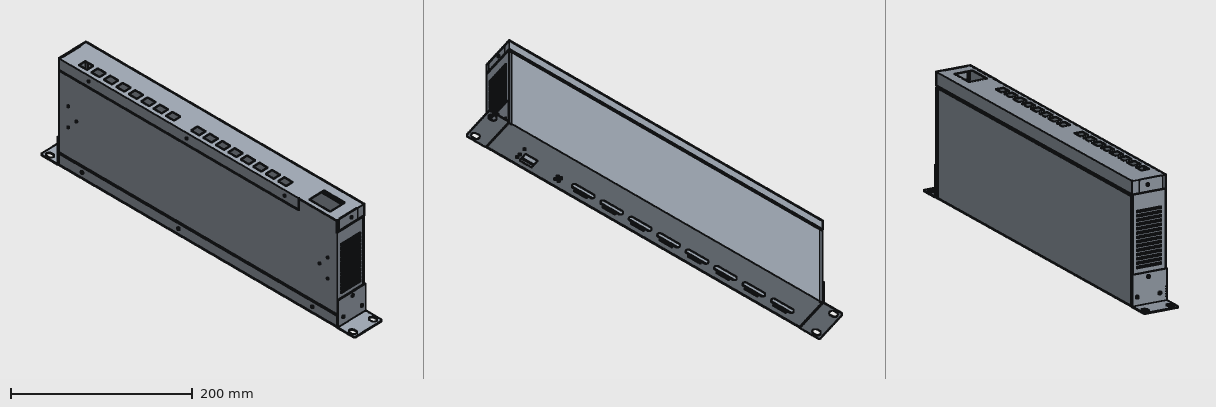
import cadquery as cq


SHEET = 1.0
BEND = SHEET
CLEAR = 5.0

OVERALL_X = 482.0
OVERALL_Y = 44.0
OVERALL_Z = 147.5

EAR_SHEET = 1.5
EAR_RISE = 38.0
EAR_CORNER_RADIUS = 2.0
EAR_SLOT_LENGTH = 10.0
EAR_SLOT_WIDTH = 7.0
EAR_SLOT_X = 232.5
EAR_SLOT_SPACING = 32.0
EAR_SCREW_DIAMETER = 3.8
EAR_SCREW_Y = 1.5
EAR_SCREW_HALF_SPACING = 14.5
EAR_SCREW_LOW_Z = 11.0
EAR_SCREW_HIGH_Z = 33.0

BOX_X = 428.0
BODY_TOP = 130.5
BODY_FRONT_BOTTOM = 18.0
BODY_LIP = 4.5
TAB_FRONT_Y = -18.0
TAB_REAR_Y = 12.0
TAB_STEP_Z = 132.0
TAB_CHAMFER = 1.5
TAB_SCREW_DIAMETER = 3.3
TAB_SCREW_Y = 1.5
VENT_COUNT = 14
VENT_SPAN = 65.0
VENT_LENGTH = 31.0
VENT_HEIGHT = 2.0
VENT_MIDDLE_Z = 77.5
FRONT_HOLE_DIAMETER = 2.6
FRONT_HOLE_OUTER_X = 199.0
FRONT_HOLE_INNER_X = 186.5
FRONT_HOLE_MIDDLE_Z = 74.0
FRONT_HOLE_RISE = 14.5

FLANGE_BOTTOM = 131.0
FRONT_FLANGE_END_X = 154.5
FLANGE_INSET = 0.6
COVER_SCREW_DIAMETER = 2.85
COVER_SCREW_Z = 139.5
COVER_SCREW_MIDDLE_X = -17.5
COVER_SCREW_SPACING = 150.5
JACK_COUNT = 8
JACK_SPAN = 133.5
JACK_GROUP_STARTS = (-182.5, -10.5)
JACK_WIDTH = 12.5
WINDOW_BOTTOM_Y = -15.0
JACK_TOP_Y = -5.0
INLET_LEFT_X = 165.0
INLET_RIGHT_X = 196.5
INLET_TOP_Y = 8.0

BASE_FLANGE_TOP = 16.5
REAR_WALL_TOP = 128.5
BASE_SCREW_DIAMETER = 3.75
BASE_SCREW_Z = 8.5
BASE_SCREW_XS = (-178.0, -30.0, 175.5)
PORT_COUNT = 8
PORT_SPAN = 271.5
PORT_START_X = -180.5
PORT_WIDTH = 30.0
PORT_HEIGHT = 6.0
PORT_MIDDLE_Y = -8.0
PORT_NOTCH_WIDTH = 17.5
PORT_NOTCH_BOTTOM_Y = -14.0
UPLINK_LEFT_X = 156.5
UPLINK_RIGHT_X = 173.0
UPLINK_TOP_Y = -3.6
UPLINK_BOTTOM_Y = -15.0
LAMP_DIAMETER = 3.3
LAMP_XS = (121.5, 126.0, 178.0)
LAMP_YS = (-8.0, -12.5)
BUTTON_X = 178.0
BUTTON_Y = 1.0
BUTTON_DIAMETER = 2.75

BOX_HALF_X = BOX_X / 2
HALF_Y = OVERALL_Y / 2
INNER_HALF_X = BOX_HALF_X - SHEET
INNER_HALF_Y = HALF_Y - SHEET
FLANGE_HALF_X = BOX_HALF_X - FLANGE_INSET
TOP_UNDERSIDE = OVERALL_Z - SHEET
VENT_PITCH = VENT_SPAN / (VENT_COUNT - 1)
JACK_PITCH = JACK_SPAN / (JACK_COUNT - 1)
PORT_PITCH = PORT_SPAN / (PORT_COUNT - 1)


def block(x0, x1, y0, y1, z0, z1):
    """Box between two opposite corners."""
    return cq.Workplane("XY").box(x1 - x0, y1 - y0, z1 - z0, centered=False).translate((x0, y0, z0))


def holes_in_front(points, diameter):
    """Round cutters through the front wall at (x, z) points."""
    depth = SHEET + 2 * CLEAR
    plane = cq.Workplane("XZ", origin=(0, -HALF_Y - CLEAR, 0))
    return plane.pushPoints(points).circle(diameter / 2).extrude(-depth)


def holes_along_x(points, diameter):
    """Round cutters through both end walls at (y, z) points."""
    plane = cq.Workplane("YZ", origin=(-OVERALL_X / 2, 0, 0))
    return plane.pushPoints(points).circle(diameter / 2).extrude(OVERALL_X)


def ear_screw_holes():
    """Three screw holes shared by each ear and the end wall behind it."""
    points = [
        (EAR_SCREW_Y, EAR_SCREW_HIGH_Z),
        (EAR_SCREW_Y - EAR_SCREW_HALF_SPACING, EAR_SCREW_LOW_Z),
        (EAR_SCREW_Y + EAR_SCREW_HALF_SPACING, EAR_SCREW_LOW_Z),
    ]
    return holes_along_x(points, EAR_SCREW_DIAMETER)


def tab_screw_hole():
    """Screw hole shared by the cover's end flanges and the body's tabs."""
    return holes_along_x([(TAB_SCREW_Y, COVER_SCREW_Z)], TAB_SCREW_DIAMETER)


def cover_screw_holes():
    """Row of screw holes along the cover's front flange."""
    points = [(COVER_SCREW_MIDDLE_X + i * COVER_SCREW_SPACING, COVER_SCREW_Z) for i in (-1, 0, 1)]
    return holes_in_front(points, COVER_SCREW_DIAMETER)


def end_vents():
    """Column of horizontal vent slots through both end walls."""
    plane = cq.Workplane("YZ", origin=(-OVERALL_X / 2, 0, VENT_MIDDLE_Z))
    return plane.rarray(5, VENT_PITCH, 1, VENT_COUNT).rect(VENT_LENGTH, VENT_HEIGHT).extrude(OVERALL_X)


def front_wall_holes():
    """Triangle of small holes near each end of the front wall."""
    points = []
    for side in (-1, 1):
        points.append((side * FRONT_HOLE_INNER_X, FRONT_HOLE_MIDDLE_Z))
        for rise in (-FRONT_HOLE_RISE, FRONT_HOLE_RISE):
            points.append((side * FRONT_HOLE_OUTER_X, FRONT_HOLE_MIDDLE_Z + rise))
    return holes_in_front(points, FRONT_HOLE_DIAMETER)


def end_tab(side):
    """Screw tab that steps inside one end wall and stands up behind the cover's end flange."""
    profile = [
        (BOX_HALF_X, BODY_TOP),
        (INNER_HALF_X, FLANGE_BOTTOM),
        (INNER_HALF_X, TOP_UNDERSIDE),
        (INNER_HALF_X - SHEET, TOP_UNDERSIDE),
        (INNER_HALF_X - SHEET, TAB_STEP_Z),
        (INNER_HALF_X, BODY_TOP),
    ]
    plane = cq.Workplane("XZ", origin=(0, TAB_REAR_Y, 0))
    tab = plane.polyline(profile).close().extrude(TAB_REAR_Y - TAB_FRONT_Y)
    tab = tab.edges("|X and >Z").chamfer(TAB_CHAMFER)
    if side < 0:
        tab = tab.mirror("YZ")
    return tab


def make_body():
    """Front wall bent into two end walls, each with a narrow rear lip and a screw tab."""
    body = block(-BOX_HALF_X, BOX_HALF_X, -HALF_Y, INNER_HALF_Y, SHEET, BODY_TOP)
    body = body.edges("|Z and <Y").fillet(BEND)
    body = body.cut(
        block(-INNER_HALF_X, INNER_HALF_X, -INNER_HALF_Y, INNER_HALF_Y - SHEET, 0, OVERALL_Z)
    )
    opening_half_x = BOX_HALF_X - BODY_LIP
    body = body.cut(block(-opening_half_x, opening_half_x, 0, HALF_Y, 0, OVERALL_Z))
    body = body.cut(block(-BOX_HALF_X, BOX_HALF_X, -HALF_Y, -INNER_HALF_Y, 0, BODY_FRONT_BOTTOM))
    body = body.union(
        block(FRONT_FLANGE_END_X, INNER_HALF_X, -HALF_Y, -INNER_HALF_Y, BODY_TOP - CLEAR, TOP_UNDERSIDE)
    )
    for side in (-1, 1):
        body = body.union(end_tab(side))
    return body.cut(end_vents()).cut(front_wall_holes()).cut(ear_screw_holes()).cut(tab_screw_hole())


def cover_openings():
    """Two rows of jack windows and the power inlet window."""
    cutters = block(
        INLET_LEFT_X, INLET_RIGHT_X, WINDOW_BOTTOM_Y, INLET_TOP_Y, TOP_UNDERSIDE - CLEAR, OVERALL_Z + CLEAR
    )
    for start in JACK_GROUP_STARTS:
        for i in range(JACK_COUNT):
            left = start + i * JACK_PITCH - JACK_WIDTH / 2
            cutters = cutters.add(
                block(
                    left, left + JACK_WIDTH, WINDOW_BOTTOM_Y, JACK_TOP_Y,
                    TOP_UNDERSIDE - CLEAR, OVERALL_Z + CLEAR,
                )
            )
    return cutters.combine()


def make_cover():
    """Top panel with flanges bent down along all four sides."""
    cover = block(-BOX_HALF_X, BOX_HALF_X, -HALF_Y, HALF_Y, FLANGE_BOTTOM, OVERALL_Z)
    cover = cover.faces(">Z").edges().fillet(BEND)
    cover = cover.cut(
        block(-INNER_HALF_X, INNER_HALF_X, -INNER_HALF_Y, INNER_HALF_Y, 0, TOP_UNDERSIDE)
    )
    cover = cover.cut(block(FRONT_FLANGE_END_X, BOX_HALF_X, -HALF_Y, -INNER_HALF_Y, 0, OVERALL_Z))
    cover = cover.union(
        block(FRONT_FLANGE_END_X, INNER_HALF_X, -HALF_Y, -INNER_HALF_Y, TOP_UNDERSIDE, OVERALL_Z)
    )
    cover = cover.cut(block(-BOX_HALF_X, -FLANGE_HALF_X, -HALF_Y, -INNER_HALF_Y, 0, OVERALL_Z))
    return cover.cut(cover_openings()).cut(cover_screw_holes()).cut(tab_screw_hole())


def port_openings():
    """Row of round-ended port slots, each with a square notch below its middle."""
    middle_x = PORT_START_X + PORT_SPAN / 2
    notch_height = PORT_MIDDLE_Y - PORT_NOTCH_BOTTOM_Y
    slot_row = cq.Workplane("XY").center(middle_x, PORT_MIDDLE_Y).rarray(PORT_PITCH, 5, PORT_COUNT, 1)
    notch_row = (
        cq.Workplane("XY")
        .center(middle_x, PORT_MIDDLE_Y - notch_height / 2)
        .rarray(PORT_PITCH, 5, PORT_COUNT, 1)
    )
    slots = slot_row.slot2D(PORT_WIDTH, PORT_HEIGHT).extrude(SHEET)
    notches = notch_row.rect(PORT_NOTCH_WIDTH, notch_height).extrude(SHEET)
    return slots.union(notches)


def make_base():
    """Base panel bent up into a low flange along the front and the full rear wall."""
    base = block(-FLANGE_HALF_X, FLANGE_HALF_X, -HALF_Y, HALF_Y, 0, BASE_FLANGE_TOP)
    base = base.edges("|X and <Z").fillet(BEND)
    base = base.cut(block(-BOX_HALF_X, BOX_HALF_X, -INNER_HALF_Y, INNER_HALF_Y, SHEET, OVERALL_Z))
    base = base.union(
        block(-FLANGE_HALF_X, FLANGE_HALF_X, INNER_HALF_Y, HALF_Y, BASE_FLANGE_TOP - SHEET, REAR_WALL_TOP)
    )
    base = base.cut(port_openings())
    base = base.cut(block(UPLINK_LEFT_X, UPLINK_RIGHT_X, UPLINK_BOTTOM_Y, UPLINK_TOP_Y, 0, SHEET))
    lamps = cq.Workplane("XY").pushPoints([(x, y) for x in LAMP_XS for y in LAMP_YS])
    base = base.cut(lamps.circle(LAMP_DIAMETER / 2).extrude(SHEET))
    button = cq.Workplane("XY").center(BUTTON_X, BUTTON_Y)
    base = base.cut(button.circle(BUTTON_DIAMETER / 2).extrude(SHEET))
    return base.cut(holes_in_front([(x, BASE_SCREW_Z) for x in BASE_SCREW_XS], BASE_SCREW_DIAMETER))


def make_ear(side):
    """L-shaped rack ear on one end: an upright against the end wall and a slotted foot."""
    foot = block(BOX_HALF_X, OVERALL_X / 2, -HALF_Y, HALF_Y, 0, EAR_SHEET)
    foot = foot.edges("|Z and >X").fillet(EAR_CORNER_RADIUS)
    slots = cq.Workplane("XY").center(EAR_SLOT_X, 0).rarray(5, EAR_SLOT_SPACING, 1, 2)
    foot = foot.cut(slots.slot2D(EAR_SLOT_LENGTH, EAR_SLOT_WIDTH).extrude(EAR_SHEET))
    ear = foot.union(block(BOX_HALF_X, BOX_HALF_X + EAR_SHEET, -HALF_Y, HALF_Y, 0, EAR_RISE))
    ear = ear.cut(ear_screw_holes())
    if side < 0:
        ear = ear.mirror("YZ")
    return ear


body = make_body().solids()
cover = make_cover().solids()
base = make_base().solids()
ears = [make_ear(side).solids().val() for side in (-1, 1)]

result = cq.Compound.makeCompound([body.val(), cover.val(), base.val(), *ears])